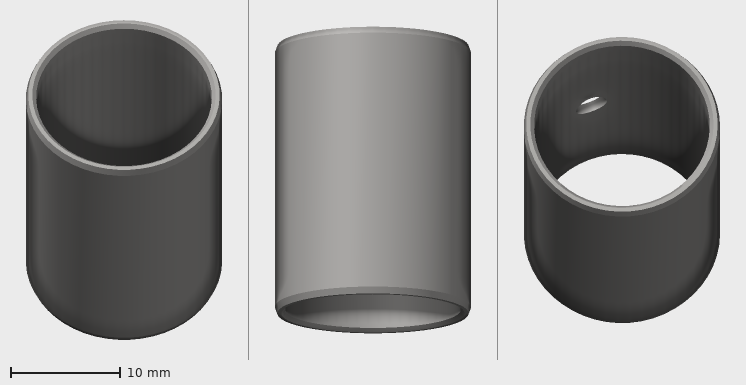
import cadquery as cq

length = 25.0
outer_radius = 9.0
bore_radius = 8.05

outer_bevel_depth = 0.22
outer_bevel_height = 0.6
bore_bevel = 0.35

side_hole_diameter = 3.0

wall_section = [
    (bore_radius, bore_bevel),
    (bore_radius + bore_bevel, 0),
    (outer_radius - outer_bevel_depth, 0),
    (outer_radius, outer_bevel_height),
    (outer_radius, length - outer_bevel_height),
    (outer_radius - outer_bevel_depth, length),
    (bore_radius + bore_bevel, length),
    (bore_radius, length - bore_bevel),
]

sleeve = cq.Workplane("XZ").polyline(wall_section).close().revolve(360, (0, 0), (0, 1))

hole_reach = outer_radius + 0.25
side_hole = (
    cq.Workplane("XZ")
    .center(0, length / 2)
    .circle(side_hole_diameter / 2)
    .extrude(-hole_reach)
)

result = sleeve.cut(side_hole)